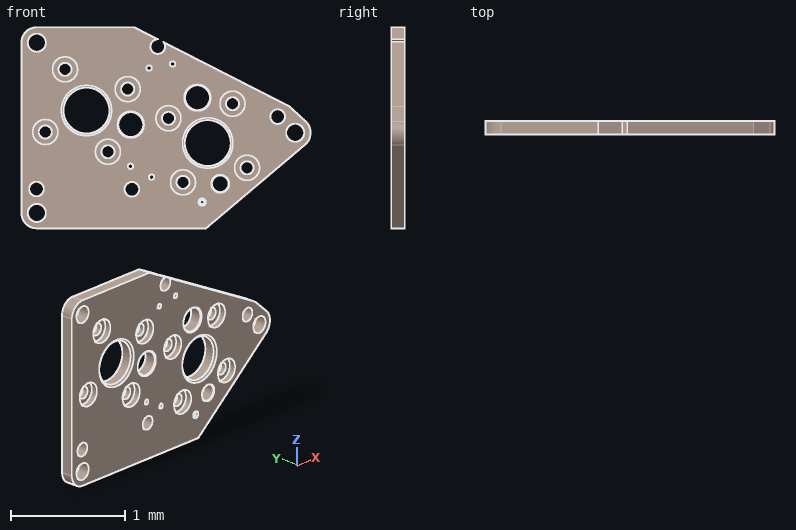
import math

import cadquery as cq

length = 2.53
height = 1.76
thickness = 0.12

corner_radius = 0.136
top_edge_end = (0.987, height)
shoulder = (2.342, 1.069)
bottom_edge_end = (1.614, 0.0)
nose_center = (length - corner_radius, 0.837)

mounting_diameter = 0.156
mounting_centers = [
    (corner_radius, corner_radius),
    (corner_radius, height - corner_radius),
    nose_center,
]

dowel_diameter = 0.126
dowel_centers = [(0.133, 0.345), (0.967, 0.343), (1.193, 1.590), (2.241, 0.978)]
pin_diameter = 0.045
pin_centers = [(0.954, 0.544), (1.139, 0.449), (1.117, 1.402), (1.323, 1.438)]

bearing_diameter = 0.400
bearing_chamfer = 0.020
left_bearing = (0.570, 1.031)
right_bearing = (1.630, 0.747)
screw_diameter = 0.112
counterbore_diameter = 0.219
counterbore_depth = 0.062
screw_circle_radius = 0.406
left_screw_angle = 27.5
right_screw_angle = 57.8
screws_per_bearing = 4

shaft_diameter = 0.216
shaft_chamfer = 0.008
shaft_centers = [(0.957, 0.908), (1.540, 1.143)]
idler_diameter = 0.145
idler_chamfer = 0.006
idler_center = (1.739, 0.391)
pilot_diameter = 0.035
pilot_chamfer = 0.015
pilot_center = (1.581, 0.231)


def nose_tangent_point(start, side):
    """Point where a line from start touches the nose circle; side is +1 above, -1 below."""
    dx = start[0] - nose_center[0]
    dz = start[1] - nose_center[1]
    angle = math.atan2(dz, dx) - side * math.acos(corner_radius / math.hypot(dx, dz))
    return (
        nose_center[0] + corner_radius * math.cos(angle),
        nose_center[1] + corner_radius * math.sin(angle),
    )


def screw_ring(center, start_angle):
    """Centers of the screw holes spaced evenly around a bearing bore."""
    angles = [
        math.radians(start_angle + 360 * index / screws_per_bearing)
        for index in range(screws_per_bearing)
    ]
    return [
        (center[0] + screw_circle_radius * math.cos(a), center[1] + screw_circle_radius * math.sin(a))
        for a in angles
    ]


def make_plate():
    """Plate blank with two rounded left corners and a rounded nose at the right."""
    corner_inset = corner_radius * (1 - math.sqrt(0.5))
    return (
        cq.Workplane("XZ")
        .moveTo(corner_radius, 0)
        .lineTo(*bottom_edge_end)
        .lineTo(*nose_tangent_point(bottom_edge_end, -1))
        .threePointArc((length, nose_center[1]), nose_tangent_point(shoulder, 1))
        .lineTo(*shoulder)
        .lineTo(*top_edge_end)
        .lineTo(corner_radius, height)
        .threePointArc((corner_inset, height - corner_inset), (0, height - corner_radius))
        .lineTo(0, corner_radius)
        .threePointArc((corner_inset, corner_inset), (corner_radius, 0))
        .close()
        .extrude(-thickness)
    )


def cylinders(centers, diameter, depth):
    """Cylindrical cutters sunk from the front face."""
    return cq.Workplane("XZ").pushPoints(centers).circle(diameter / 2).extrude(-depth)


def drill(plate, centers, diameter):
    """Plain through holes."""
    return plate.cut(cylinders(centers, diameter, thickness))


def drill_counterbored(plate, centers):
    """Screw holes with a flat-bottomed counterbore in the front face."""
    plate = drill(plate, centers, screw_diameter)
    return plate.cut(cylinders(centers, counterbore_diameter, counterbore_depth))


def drill_chamfered(plate, centers, diameter, chamfer):
    """Through holes with a 45 degree chamfer at the front face."""
    plate = drill(plate, centers, diameter)
    radius = diameter / 2
    for x, z in centers:
        cone = cq.Solid.makeCone(
            radius + chamfer, radius, chamfer, pnt=cq.Vector(x, 0, z), dir=cq.Vector(0, 1, 0)
        )
        plate = plate.cut(cq.Workplane(cone))
    return plate


result = make_plate()
result = drill(result, mounting_centers, mounting_diameter)
result = drill(result, dowel_centers, dowel_diameter)
result = drill(result, pin_centers, pin_diameter)
result = drill_counterbored(result, screw_ring(left_bearing, left_screw_angle))
result = drill_counterbored(result, screw_ring(right_bearing, right_screw_angle))
result = drill_chamfered(result, [left_bearing, right_bearing], bearing_diameter, bearing_chamfer)
result = drill_chamfered(result, shaft_centers, shaft_diameter, shaft_chamfer)
result = drill_chamfered(result, [idler_center], idler_diameter, idler_chamfer)
result = drill_chamfered(result, [pilot_center], pilot_diameter, pilot_chamfer)